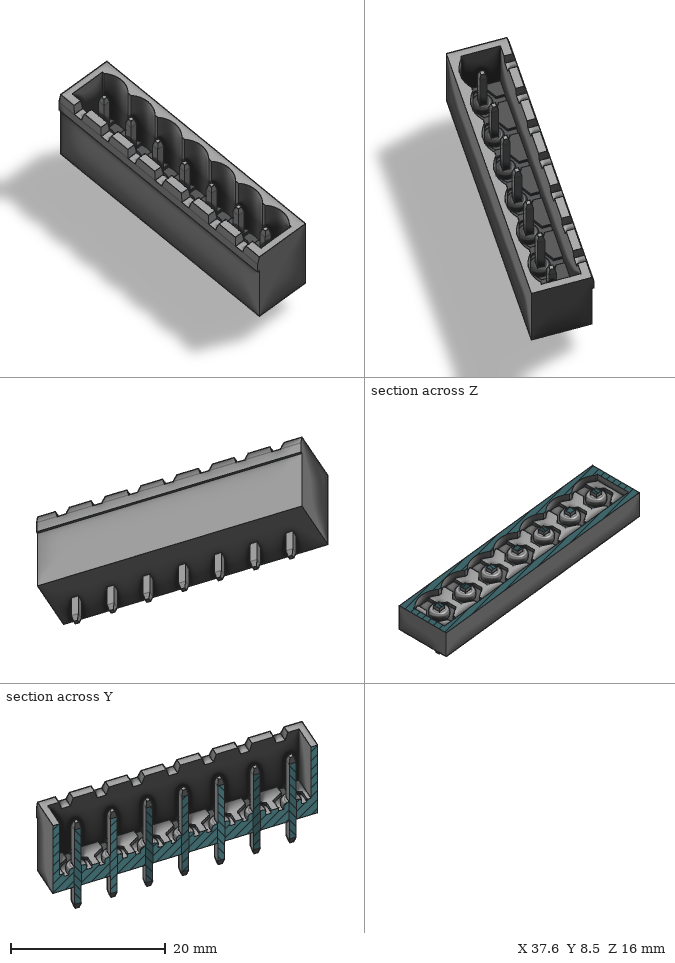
import cadquery as cq


pin_count = 7
pitch = 5.08
pin_xs = [(i - (pin_count - 1) / 2) * pitch for i in range(pin_count)]

length = 37.56
height = 12.0
block_depth = 8.2
rear_y = 3.8
front_y = rear_y - block_depth

lip_reach = 0.3
lip_bottom_z = height - 2.85
bevel_height = 1.25
lip_front_y = front_y - lip_reach

end_wall = 0.95
front_wall = 1.17
scallop_wall = 0.8
scallop_depth = 0.88
land_width = 0.5
floor_z = 3.0
cavity_half_length = length / 2 - end_wall
cavity_front_y = front_y + front_wall
scallop_peak_y = rear_y - scallop_wall
land_y = scallop_peak_y - scallop_depth
scallop_half_width = (pitch - land_width) / 2

recess_depth = 0.5
recess_floor_z = floor_z - recess_depth
recess_half_width = 2.06
rear_channel_half_width = 1.01
front_channel_half_width = 0.48
recess_rear_y = 1.25
recess_shoulder_rear_y = 0.4
recess_shoulder_front_y = -1.05
recess_front_y = -2.0

boss_diameter = 2.75
boss_height = 1.0
boss_rounding = 0.5

notch_top_width = 2.0
notch_floor_width = 1.25
notch_floor_z = height - bevel_height

pin_width = 1.0
pin_tip_width = 0.55
pin_taper = 0.9
pin_bottom_z = -4.0
pin_top_z = height - 1.0


def make_block():
    """Side profile of the housing with its bevelled lip, run along X."""
    profile = [
        (rear_y, 0),
        (rear_y, height),
        (front_y, height),
        (lip_front_y, height - bevel_height),
        (lip_front_y, lip_bottom_z),
        (front_y, lip_bottom_z),
        (front_y, 0),
    ]
    return cq.Workplane("YZ").polyline(profile).close().extrude(length / 2, both=True)


def make_cavity(bottom_z):
    """Scalloped cavity volume from bottom_z up to the top of the housing."""
    outline = (
        cq.Workplane("XY", origin=(0, 0, bottom_z))
        .moveTo(-cavity_half_length, cavity_front_y)
        .lineTo(-cavity_half_length, land_y)
    )
    for x in pin_xs:
        outline = outline.lineTo(x - scallop_half_width, land_y).threePointArc(
            (x, scallop_peak_y), (x + scallop_half_width, land_y)
        )
    outline = outline.lineTo(cavity_half_length, land_y).lineTo(cavity_half_length, cavity_front_y)
    return outline.close().extrude(height - bottom_z)


def make_recess(x):
    """Floor recess of one pin, with channels that run to the front and rear walls."""
    right_side = [
        (front_channel_half_width, cavity_front_y),
        (front_channel_half_width, recess_front_y),
        (recess_half_width, recess_shoulder_front_y),
        (recess_half_width, recess_shoulder_rear_y),
        (rear_channel_half_width, recess_rear_y),
        (rear_channel_half_width, scallop_peak_y),
    ]
    left_side = [(-px, py) for px, py in reversed(right_side)]
    return (
        cq.Workplane("XY", origin=(x, 0, recess_floor_z))
        .polyline(right_side + left_side)
        .close()
        .extrude(recess_depth)
    )


def make_boss(x):
    """Round boss with a rounded top edge, standing on the recess floor."""
    return (
        cq.Workplane("XY", origin=(x, 0, recess_floor_z))
        .circle(boss_diameter / 2)
        .extrude(boss_height)
        .faces(">Z")
        .edges()
        .fillet(boss_rounding)
    )


def make_notch(x):
    """Trapezoidal cutter through the front wall and lip."""
    profile = [
        (-notch_top_width / 2, height),
        (-notch_floor_width / 2, notch_floor_z),
        (notch_floor_width / 2, notch_floor_z),
        (notch_top_width / 2, height),
    ]
    return (
        cq.Workplane("XZ", origin=(x, cavity_front_y, 0))
        .polyline(profile)
        .close()
        .extrude(cavity_front_y - lip_front_y)
    )


def make_pin(x):
    """Square pin with a tapered tip at each end."""
    shank_bottom_z = pin_bottom_z + pin_taper
    shank_top_z = pin_top_z - pin_taper
    shank = (
        cq.Workplane("XY", origin=(x, 0, shank_bottom_z))
        .rect(pin_width, pin_width)
        .extrude(shank_top_z - shank_bottom_z)
    )
    for shank_end_z, tip_z in ((shank_bottom_z, pin_bottom_z), (shank_top_z, pin_top_z)):
        tip = (
            cq.Workplane("XY", origin=(x, 0, shank_end_z))
            .rect(pin_width, pin_width)
            .workplane(offset=tip_z - shank_end_z)
            .rect(pin_tip_width, pin_tip_width)
            .loft(ruled=True)
        )
        shank = shank.union(tip)
    return shank.solids()


def make_housing(pins):
    """Block with its cavity, recesses, bosses and notches, and a hole for every pin."""
    body = make_block().cut(make_cavity(floor_z))
    recess_limit = make_cavity(recess_floor_z)
    for x, pin in zip(pin_xs, pins):
        body = body.cut(make_recess(x).intersect(recess_limit))
        body = body.union(make_boss(x))
        body = body.cut(make_notch(x))
        body = body.cut(pin)
    return body.solids()


pins = [make_pin(x) for x in pin_xs]
housing = make_housing(pins)

result = cq.Compound.makeCompound([housing.val(), *[pin.val() for pin in pins]])